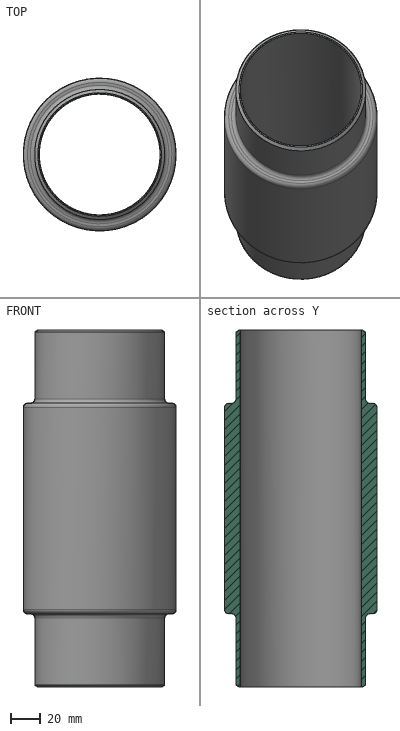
import cadquery as cq

total_length = 244.0
body_diameter = 104.5
neck_diameter = 88.8
bore_diameter = 82.5
neck_length = 50.0

shoulder_round = 3.0
neck_root_fillet = 3.0
rim_bevel_height = 1.5
rim_bevel_width = 2.2

body_radius = body_diameter / 2
neck_radius = neck_diameter / 2
bore_radius = bore_diameter / 2
rim_radius = neck_radius - rim_bevel_width
body_bottom = neck_length
body_top = total_length - neck_length


def revolve_sleeve():
    """Revolve the wall section: bevelled neck, thick body, bevelled neck, straight bore."""
    wall_section = [
        (bore_radius, 0),
        (rim_radius, 0),
        (neck_radius, rim_bevel_height),
        (neck_radius, body_bottom),
        (body_radius, body_bottom),
        (body_radius, body_top),
        (neck_radius, body_top),
        (neck_radius, total_length - rim_bevel_height),
        (rim_radius, total_length),
        (bore_radius, total_length),
    ]
    return cq.Workplane("XZ").polyline(wall_section).close().revolve(360, (0, 0), (0, 1))


def blend_body_step(solid, radius, blend_radius):
    """Blend the circular edges of the given radius at both end faces of the body."""
    tolerance = 0.0002
    step_edges = [
        edge
        for edge in solid.edges("%CIRCLE").vals()
        if abs(edge.radius() - radius) < tolerance
        and min(abs(edge.Center().z - body_bottom), abs(edge.Center().z - body_top)) < tolerance
    ]
    return solid.newObject(step_edges).fillet(blend_radius)


sleeve = revolve_sleeve()

sleeve = blend_body_step(sleeve, body_radius, shoulder_round)

sleeve = blend_body_step(sleeve, neck_radius, neck_root_fillet)

result = sleeve